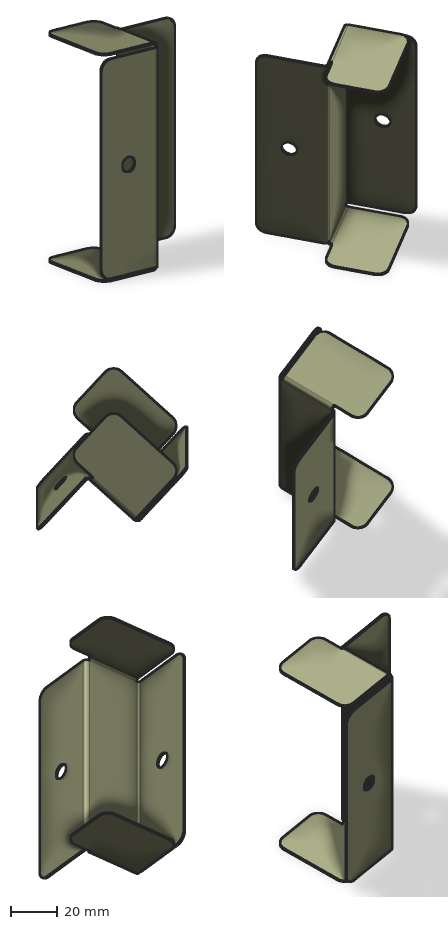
import cadquery as cq
import math

overall_width = 42.0
overall_depth = 63.8
overall_height = 104.0

sheet = 0.8
bend_outer = 2.0
bend_inner = bend_outer - sheet
corner_radius = 5.0

web_width = 30.0
wall_height = overall_height - 2 * bend_outer
front_flange_depth = 32.0
back_end = overall_depth - front_flange_depth
front_end = -front_flange_depth
hole_diameter = 7.0
hole_edge_distance = 15.0

flap_depth = 30.1
flap_right = web_width - bend_outer
flap_left = web_width - overall_width
bend_left = bend_outer


def arc_middle(center, radius, angle):
    """Point on a circle, with the angle in degrees."""
    turn = math.radians(angle)
    return (center[0] + radius * math.cos(turn), center[1] + radius * math.sin(turn))


def make_walls():
    """Z-shaped profile: back flange on the left, web, front flange on the right."""
    left_center = (bend_outer, bend_inner)
    right_center = (web_width - bend_outer, -bend_outer)
    profile = (
        cq.Workplane("XY", origin=(0, 0, -wall_height / 2))
        .moveTo(0, back_end)
        .lineTo(0, bend_inner)
        .threePointArc(arc_middle(left_center, bend_outer, 225), (bend_outer, -sheet))
        .lineTo(right_center[0], -sheet)
        .threePointArc(arc_middle(right_center, bend_inner, 45), (web_width - sheet, -bend_outer))
        .lineTo(web_width - sheet, front_end)
        .lineTo(web_width, front_end)
        .lineTo(web_width, -bend_outer)
        .threePointArc(arc_middle(right_center, bend_outer, 45), (right_center[0], 0))
        .lineTo(bend_outer, 0)
        .threePointArc(arc_middle(left_center, bend_inner, 225), (sheet, bend_inner))
        .lineTo(sheet, back_end)
        .close()
    )
    walls = profile.extrude(wall_height)
    return walls.edges("|X").edges("<Y or >Y").fillet(corner_radius)


def make_flange_holes():
    """One hole at mid height through each upright flange."""
    hole_places = [
        (front_end + hole_edge_distance, 0),
        (back_end - hole_edge_distance, 0),
    ]
    return (
        cq.Workplane("YZ")
        .pushPoints(hole_places)
        .circle(hole_diameter / 2)
        .extrude(web_width)
    )


def make_top_flap():
    """Quarter-round bend on the web's top edge and the flat flap that runs forward from it."""
    bend_center = (-bend_outer, wall_height / 2)
    top = overall_height / 2
    bend = (
        cq.Workplane("YZ", origin=(bend_left, 0, 0))
        .moveTo(0, bend_center[1])
        .threePointArc(arc_middle(bend_center, bend_outer, 45), (-bend_outer, top))
        .lineTo(-bend_outer, top - sheet)
        .threePointArc(arc_middle(bend_center, bend_inner, 45), (-sheet, bend_center[1]))
        .close()
        .extrude(flap_right - bend_left)
    )
    plate = (
        cq.Workplane("XY", origin=(flap_left, -flap_depth, top - sheet))
        .box(flap_right - flap_left, flap_depth - bend_outer, sheet, centered=False)
    )
    plate = plate.edges("|Z").edges("<X or <Y").fillet(corner_radius)
    return bend.union(plate)


top_flap = make_top_flap()
bottom_flap = top_flap.mirror("XY")
result = make_walls().cut(make_flange_holes()).union(top_flap).union(bottom_flap)